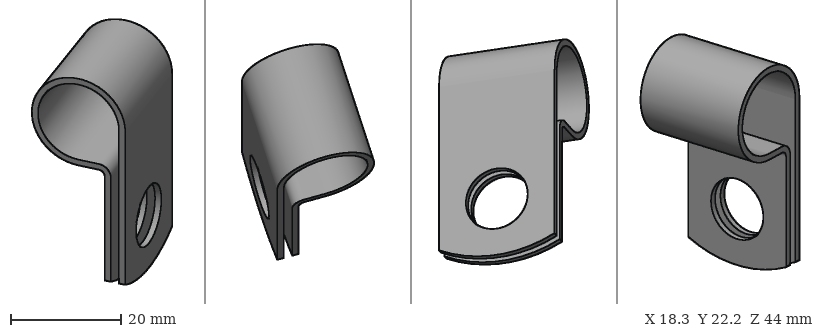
import cadquery as cq
import math

height = 44.05
width = 22.25
loop_radius = 9.15
thickness = 1.25
leg_gap = 1.6
bend_inner_radius = 1.15
hole_diameter = 11.9
hole_height = 11.15
end_sag = 2.6

loop_z = height - loop_radius
bore_radius = loop_radius - thickness
bend_outer_radius = bend_inner_radius + thickness
short_leg_outer = bore_radius - leg_gap
short_leg_inner = short_leg_outer - thickness
bend_x = short_leg_outer - bend_outer_radius
bend_z = loop_z - bore_radius - bend_outer_radius
diagonal = math.sqrt(0.5)


def make_strip():
    """Bent strip: long leg, three-quarter loop, bend and short leg."""
    profile = (
        cq.Workplane("XZ")
        .moveTo(loop_radius, 0)
        .lineTo(loop_radius, loop_z)
        .threePointArc((-loop_radius * diagonal, loop_z + loop_radius * diagonal), (0, loop_z - loop_radius))
        .lineTo(bend_x, loop_z - loop_radius)
        .threePointArc(
            (bend_x + bend_inner_radius * diagonal, bend_z + bend_inner_radius * diagonal),
            (short_leg_inner, bend_z),
        )
        .lineTo(short_leg_inner, 0)
        .lineTo(short_leg_outer, 0)
        .lineTo(short_leg_outer, bend_z)
        .threePointArc(
            (bend_x + bend_outer_radius * diagonal, bend_z + bend_outer_radius * diagonal),
            (bend_x, loop_z - bore_radius),
        )
        .lineTo(0, loop_z - bore_radius)
        .threePointArc((-bore_radius * diagonal, loop_z + bore_radius * diagonal), (bore_radius, loop_z))
        .lineTo(bore_radius, 0)
        .close()
    )
    return profile.extrude(width / 2, both=True)


def make_end_envelope():
    """Block whose lower face is the arc that rounds both leg ends."""
    return (
        cq.Workplane("YZ")
        .moveTo(-width / 2, height)
        .lineTo(-width / 2, end_sag)
        .threePointArc((0, 0), (width / 2, end_sag))
        .lineTo(width / 2, height)
        .close()
        .extrude(loop_radius, both=True)
    )


def make_bolt_hole():
    """Cylinder along X through both legs."""
    return (
        cq.Workplane("YZ")
        .center(0, hole_height)
        .circle(hole_diameter / 2)
        .extrude(loop_radius, both=True)
    )


result = make_strip().intersect(make_end_envelope()).cut(make_bolt_hole())